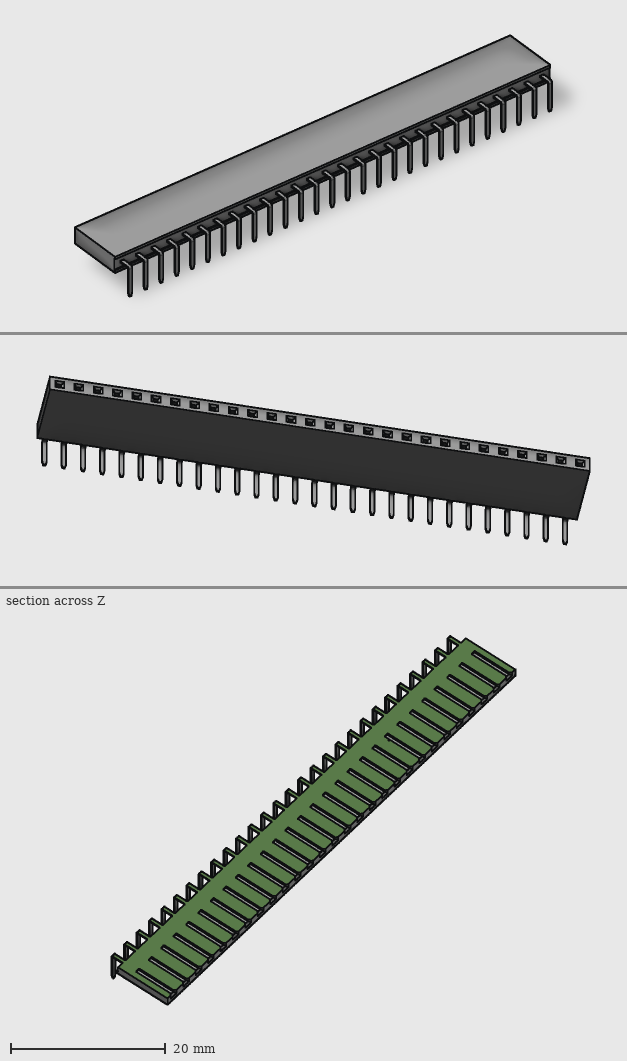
import cadquery as cq

pin_count = 28
pitch = 2.54

body_depth = 8.5
body_length = pin_count * pitch
body_height = pitch
rear_rail_thickness = 0.4
rear_recess_depth = 0.2

socket_mouth = 1.2
socket_throat = 0.6
socket_lead_in = 0.3
socket_depth = 7.0

pin_width = 0.6
pin_thickness = 0.2
pin_overhang = 1.63
pin_drop = 3.3
pin_outer_bend_radius = 0.3
pin_exposed_length = 1.0
tip_length = 0.6
tip_width = 0.3

rear_floor_x = body_depth - rear_recess_depth
pin_start_x = socket_depth - pin_exposed_length
pin_outer_x = body_depth + pin_overhang
pin_inner_x = pin_outer_x - pin_thickness
pin_top_z = pin_thickness / 2
pin_inner_bend_radius = pin_outer_bend_radius - pin_thickness
pin_bend_x = pin_outer_x - pin_outer_bend_radius
pin_bend_z = pin_top_z - pin_outer_bend_radius
pin_bottom_z = -body_height / 2 - pin_drop
row_positions = [(i - (pin_count - 1) / 2) * pitch for i in range(pin_count)]


def make_body():
    """Rectangular bar with a full-length recess between two rails at the rear."""
    body = cq.Workplane("XY").box(body_depth, body_length, body_height, centered=(False, True, True))
    recess = (
        cq.Workplane("XY")
        .box(
            rear_recess_depth,
            body_length,
            body_height - 2 * rear_rail_thickness,
            centered=(False, True, True),
        )
        .translate((rear_floor_x, 0, 0))
    )
    return body.cut(recess)


def make_socket():
    """Square blind hole with a tapered lead-in, entering from the mating face."""
    lead_in = (
        cq.Workplane("YZ")
        .rect(socket_mouth, socket_mouth)
        .workplane(offset=socket_lead_in)
        .rect(socket_throat, socket_throat)
        .loft(ruled=True)
    )
    throat = (
        cq.Workplane("YZ")
        .rect(socket_throat, socket_throat)
        .extrude(socket_depth)
    )
    return lead_in.union(throat)


def make_pin():
    """Flat strip from the socket floor, bent downwards, with its tip narrowed along the row."""
    side_profile = (
        cq.Workplane("XZ")
        .moveTo(pin_start_x, pin_top_z)
        .lineTo(pin_bend_x, pin_top_z)
        .radiusArc((pin_outer_x, pin_bend_z), pin_outer_bend_radius)
        .lineTo(pin_outer_x, pin_bottom_z)
        .lineTo(pin_inner_x, pin_bottom_z)
        .lineTo(pin_inner_x, pin_bend_z)
        .radiusArc((pin_bend_x, pin_top_z - pin_thickness), -pin_inner_bend_radius)
        .lineTo(pin_start_x, pin_top_z - pin_thickness)
        .close()
        .extrude(pin_width / 2, both=True)
    )
    shoulder_z = pin_bottom_z + tip_length
    front_outline = (
        cq.Workplane("YZ")
        .polyline([
            (-tip_width / 2, pin_bottom_z),
            (tip_width / 2, pin_bottom_z),
            (pin_width / 2, shoulder_z),
            (pin_width / 2, pin_top_z),
            (-pin_width / 2, pin_top_z),
            (-pin_width / 2, shoulder_z),
        ])
        .close()
        .extrude(pin_outer_x)
    )
    return side_profile.intersect(front_outline)


def repeat_along_row(shape):
    """Copies of one shape at every contact position."""
    copies = [shape.val().translate(cq.Vector(0, y, 0)) for y in row_positions]
    return cq.Workplane("XY").newObject(copies).combine()


result = make_body().cut(repeat_along_row(make_socket())).union(repeat_along_row(make_pin()))